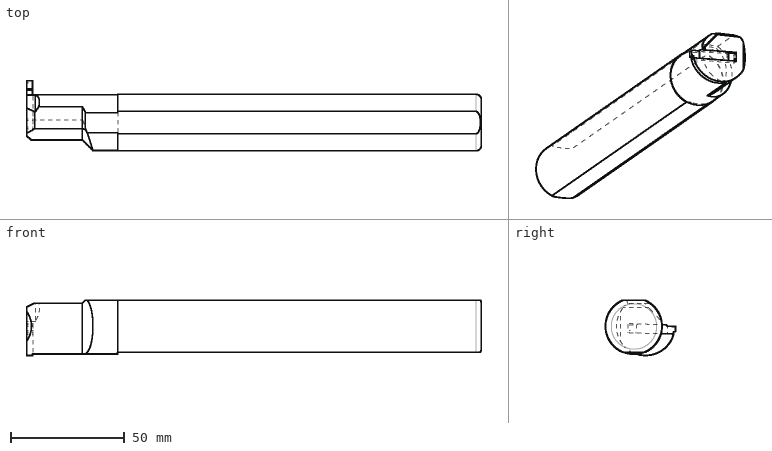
import cadquery as cq
import math

length = 200.0
shank_radius = 12.5
flat_height = 11.5
end_rounding = 2.5

collar_radius = 12.3
collar_end = 40.0

head_offset = 5.2
head_radius = 12.9
neck_flat_height = 10.2
neck_end = 24.5
blade_thickness = 2.7

top_chamfer_length = 3.5
side_chamfer_length = 2.2
chamfer_depth = 1.8

clearance_upper_y, clearance_upper_z = 6.5, 8.5
clearance_lower_y, clearance_lower_z = 12.5, 1.7
clearance_length = 3.8
clearance_reach = 8.0

tip_y = 18.5
insert_length = 21.0
insert_height = 4.0
insert_middle_z = -1.1
insert_tilt = -2.0
tip_length = 3.5
tip_drop = 0.5
tip_overhang = 0.8
tip_relief = 1.0
face_recess = 0.2

margin = 20.0


def rod(radius, start, end, y=0.0):
    return cq.Workplane("YZ", origin=(start, y, 0)).circle(radius).extrude(end - start)


def block(x_range, y_range, z_range):
    ranges = (x_range, y_range, z_range)
    sizes = [high - low for low, high in ranges]
    corner = [low for low, high in ranges]
    return cq.Workplane("XY").box(*sizes, centered=False).translate(tuple(corner))


def make_shank():
    bar = rod(shank_radius, collar_end, length).faces(">X").edges().fillet(end_rounding)
    flats = block((collar_end, length), (-margin, margin), (-flat_height, flat_height))
    return bar.intersect(flats)


def make_head_envelope():
    """Flat-topped head cylinder that widens at 45 degrees behind the neck."""
    flare = collar_end - neck_end
    profile = [
        (0, 0),
        (0, head_radius),
        (neck_end, head_radius),
        (collar_end, head_radius + flare),
        (collar_end, 0),
    ]
    cylinder = (
        cq.Workplane("XY").polyline(profile).close()
        .revolve(360, (0, 0, 0), (1, 0, 0)).translate((0, head_offset, 0))
    )
    top_outline = [
        (0, -2 * margin),
        (0, neck_flat_height),
        (neck_end, neck_flat_height),
        (collar_end, neck_flat_height + flare),
        (collar_end, -2 * margin),
    ]
    below_top = cq.Workplane("XZ").polyline(top_outline).close().extrude(2 * margin, both=True)
    return cylinder.intersect(below_top)


def make_neck_and_collar():
    bar = rod(collar_radius, 0, collar_end)
    below_flat = block((0, collar_end), (-margin, margin), (-margin, flat_height))
    return bar.intersect(below_flat).intersect(make_head_envelope())


def make_blade():
    """Part of the head cylinder that supports the insert beyond the neck."""
    disc = rod(head_radius, 0, blade_thickness, head_offset)
    lower_part = block((0, blade_thickness), (0, tip_y), (-margin, insert_middle_z))
    return disc.intersect(lower_part)


def chamfer_front(body):
    top_start = neck_flat_height - chamfer_depth
    top = [(0, top_start), (top_chamfer_length, neck_flat_height), (0, neck_flat_height)]
    top_cutter = cq.Workplane("XZ").polyline(top).close().extrude(margin, both=True)
    side = head_offset - head_radius
    side_outline = [(0, side + chamfer_depth), (side_chamfer_length, side), (0, side)]
    side_cutter = cq.Workplane("XY").polyline(side_outline).close().extrude(margin, both=True)
    return body.cut(top_cutter).cut(side_cutter)


def cut_clearance(body):
    """Remove the corner above a sloping face, ending in a 45 degree wall."""
    slope_y = clearance_lower_y - clearance_upper_y
    slope_z = clearance_upper_z - clearance_lower_z
    slope_length = math.hypot(slope_y, slope_z)
    outward = cq.Vector(0, slope_z / slope_length, slope_y / slope_length)
    outline = [
        (0, 0),
        (clearance_length, 0),
        (clearance_length + clearance_reach, clearance_reach),
        (0, clearance_reach),
    ]
    start = cq.Vector(0, clearance_lower_y, clearance_lower_z)
    across = cq.Vector(1, 0, 0).cross(outward)
    plane = cq.Plane(origin=start.toTuple(), xDir=(1, 0, 0), normal=across.toTuple())
    cutter = cq.Workplane(plane).polyline(outline).close().extrude(margin, both=True)
    return body.cut(cutter)


def place_insert(shape):
    middle_y = tip_y - insert_length / 2
    return shape.rotate((0, 0, 0), (1, 0, 0), insert_tilt).translate((0, middle_y, insert_middle_z))


def make_insert_pocket():
    return place_insert(
        block(
            (0, blade_thickness),
            (-insert_length / 2, insert_length / 2),
            (-insert_height / 2, insert_height / 2),
        )
    )


def make_insert():
    end = insert_length / 2
    top = insert_height / 2
    half_outline = [
        (end - tip_overhang, -top),
        (end - tip_overhang, -top + tip_relief),
        (end, -top + tip_relief),
        (end, top - tip_drop),
        (end - tip_length, top - tip_drop),
        (end - tip_length - tip_drop, top),
    ]
    mirrored = [(-y, z) for y, z in reversed(half_outline)]
    bar = cq.Workplane("YZ").polyline(half_outline + mirrored).close().extrude(blade_thickness)
    middle = end - tip_length
    recess = block((0, face_recess), (-middle, middle), (-top, top))
    return place_insert(bar.cut(recess))


def make_holder():
    front = chamfer_front(make_neck_and_collar())
    front = cut_clearance(front)
    body = front.union(make_shank()).union(make_blade())
    return body.cut(make_insert_pocket())


holder = make_holder()
insert = make_insert()

result = cq.Compound.makeCompound([holder.solids().val(), insert.solids().val()])